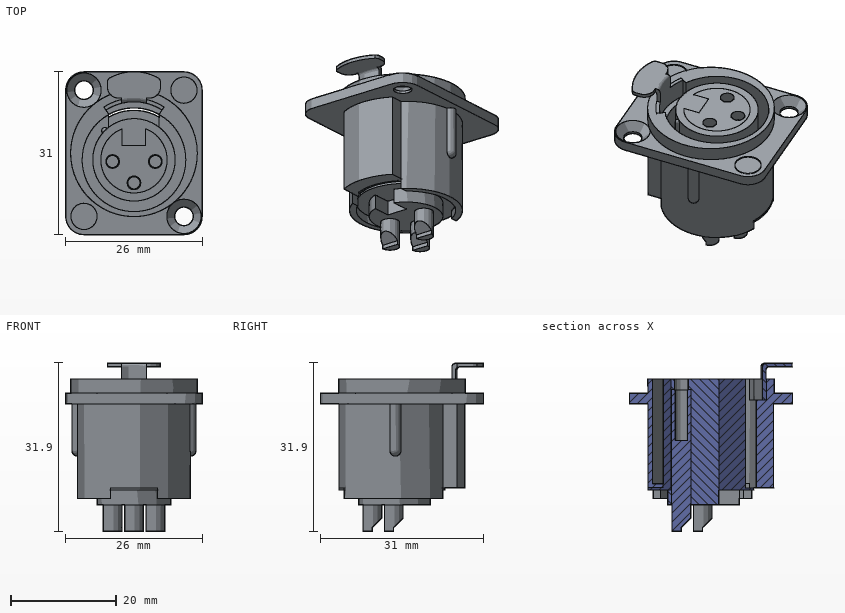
import cadquery as cq
import math

flange_thickness = 2.0
collar_height = 2.72
tab_rise = 3.0
barrel_depth = 18.0
block_depth = 16.0
housing_floor_thickness = 0.83
base_plate_thickness = 0.4
core_drop = 1.2
contact_drop = 5.02

collar_top = flange_thickness + collar_height
tab_top = collar_top + tab_rise
barrel_bottom = -barrel_depth
block_bottom = -block_depth
housing_floor_top = block_bottom + housing_floor_thickness
base_plate_bottom = block_bottom - base_plate_thickness
core_bottom = barrel_bottom - core_drop
contact_bottom = core_bottom - contact_drop

flange_width = 26.0
flange_length = 31.0
flange_corner_radius = 3.52
collar_radius = 24.1 / 2
socket_y = -1.25
socket_radius = 19.7 / 2
barrel_radius = 10.75
block_radius = barrel_radius - socket_y
block_half_width = 5.82
mount_x = 9.5
mount_y = 12.0
screw_hole_diameter = 3.5
countersink_diameter = 6.53
countersink_angle = 90.0
emblem_diameter = 5.0
emblem_depth = 0.2
rib_radius = 1.05
rib_length = 8.9
front_notch_width = 8.95
floor_slot_width = 9.6

latch_outer_radius = 10.5
latch_thickness = 0.7
latch_half_angle = 33.0
latch_inner_radius = latch_outer_radius - latch_thickness
stem_width = 4.8
latch_seat_height = 0.75
bend_outer_radius = 0.7
bend_inner_radius = 0.6
tab_width = 10.08
tab_inner_y = 10.5
tab_inner_corner_radius = 2.08
tab_side_high_y = 13.5
tab_shoulder_x = 4.67
tab_shoulder_y = 14.3
tab_shoulder_radius = 1.05
tab_tip_y = flange_length / 2

sleeve_radius = 7.85
base_plate_radius = 9.45
sleeve_rib_x = -5.55
sleeve_rib_y = 4.3
sleeve_rib_radius = 0.6
sleeve_rib_drop = 0.1
core_radius = 6.3
core_foot_radius = 7.0
keyway_width = 4.48
keyway_y = 1.5

contact_diameter = 3.6
contact_bore = 2.3
contact_bore_depth = 9.6
entry_hole_diameter = 2.6
entry_hole_depth = 2.08
contact_row_y = -1.57
contact_spacing = 4.05
cup_lip_height = 0.75
contact_top = collar_top - entry_hole_depth
contact_centers = [
    (-contact_spacing, contact_row_y),
    (contact_spacing, contact_row_y),
    (0, contact_row_y - contact_spacing),
]


def cylinder(x, y, radius, bottom, top):
    """Upright cylinder between two heights."""
    return cq.Workplane("XY", origin=(x, y, bottom)).circle(radius).extrude(top - bottom)


def block(x_size, y_low, y_high, bottom, top):
    """Box centred on X = 0 between two Y positions and two heights."""
    size = (x_size, y_high - y_low, top - bottom)
    return cq.Workplane("XY", origin=(0, y_low, bottom)).box(*size, centered=(True, False, False))


def sector(radius, bottom, top):
    """Pie slice about the flange centre, symmetric about the +Y direction."""
    half_angle = math.radians(latch_half_angle)
    end_x = radius * math.sin(half_angle)
    end_y = radius * math.cos(half_angle)
    outline = cq.Workplane("XY", origin=(0, 0, bottom)).moveTo(0, 0).lineTo(-end_x, end_y)
    return outline.threePointArc((0, radius), (end_x, end_y)).close().extrude(top - bottom)


def ball_ended_rod(x, y, radius, plain_end, ball_center):
    """Upright rod with a half ball at one end, above or below its plain end."""
    ball = cq.Workplane("XY", origin=(x, y, ball_center)).sphere(radius)
    bottom = min(plain_end, ball_center)
    top = max(plain_end, ball_center)
    return cylinder(x, y, radius, bottom, top).union(ball)


def make_flange():
    """Rounded plate with two countersunk screw holes and two shallow round recesses."""
    plate = cq.Workplane("XY").box(
        flange_width, flange_length, flange_thickness, centered=(True, True, False)
    )
    plate = plate.edges("|Z").fillet(flange_corner_radius)
    top_face = plate.faces(">Z").workplane(origin=(0, 0, flange_thickness))
    plate = top_face.pushPoints([(-mount_x, mount_y), (mount_x, -mount_y)]).cskHole(
        screw_hole_diameter, countersink_diameter, countersink_angle
    )
    for x, y in [(-mount_x, -mount_y), (mount_x, mount_y)]:
        recess_floor = flange_thickness - emblem_depth
        plate = plate.cut(cylinder(x, y, emblem_diameter / 2, recess_floor, flange_thickness))
    return plate


def make_housing():
    """Flange, collar, barrel and latch block, hollowed for the sleeve and the latch."""
    barrel = cylinder(0, socket_y, barrel_radius, barrel_bottom, 0)
    rear_notch = block(2 * block_half_width, 0, collar_radius, barrel_bottom, block_bottom)
    front_notch = block(front_notch_width, -flange_length / 2, 0, barrel_bottom, block_bottom)
    barrel = barrel.cut(rear_notch).cut(front_notch)
    for x in (-barrel_radius, barrel_radius):
        barrel = barrel.union(ball_ended_rod(x, socket_y, rib_radius, 0, -rib_length))

    latch_block = cylinder(0, 0, block_radius, block_bottom, 0)
    latch_block = latch_block.intersect(
        block(2 * block_half_width, 0, collar_radius, block_bottom, 0)
    )
    body = make_flange().union(cylinder(0, 0, collar_radius, flange_thickness, collar_top))
    body = body.union(barrel).union(latch_block)

    body = body.cut(cylinder(0, socket_y, socket_radius, housing_floor_top, collar_top))
    body = body.cut(sector(latch_outer_radius, latch_seat_height, collar_top))
    body = body.cut(cylinder(0, socket_y, sleeve_radius, block_bottom, housing_floor_top))
    body = body.cut(cylinder(0, socket_y, base_plate_radius, barrel_bottom, block_bottom))

    floor_slot = block(floor_slot_width, 0, collar_radius, block_bottom, housing_floor_top)
    socket = cylinder(0, socket_y, socket_radius, block_bottom, housing_floor_top)
    return body.cut(floor_slot.intersect(socket))


def make_tab():
    """Push tab with a bowed outer edge and rounded corners."""
    side_x = tab_width / 2
    inner_x = side_x - tab_inner_corner_radius
    side_low_y = tab_inner_y + tab_inner_corner_radius
    outline = (
        cq.Workplane("XY", origin=(0, 0, tab_top - latch_thickness))
        .moveTo(-inner_x, tab_inner_y)
        .lineTo(inner_x, tab_inner_y)
        .radiusArc((side_x, side_low_y), -tab_inner_corner_radius)
        .lineTo(side_x, tab_side_high_y)
        .radiusArc((tab_shoulder_x, tab_shoulder_y), -tab_shoulder_radius)
        .threePointArc((0, tab_tip_y), (-tab_shoulder_x, tab_shoulder_y))
        .radiusArc((-side_x, tab_side_high_y), -tab_shoulder_radius)
        .lineTo(-side_x, side_low_y)
        .radiusArc((-inner_x, tab_inner_y), -tab_inner_corner_radius)
        .close()
    )
    return outline.extrude(latch_thickness)


def make_stem():
    """Strip of a revolved profile that rises from the plate and bends outwards."""
    tab_bottom = tab_top - latch_thickness
    bend_end = latch_outer_radius + bend_inner_radius
    profile = (
        cq.Workplane("XZ")
        .moveTo(latch_inner_radius, latch_seat_height)
        .lineTo(latch_inner_radius, tab_top - bend_outer_radius)
        .radiusArc((latch_inner_radius + bend_outer_radius, tab_top), bend_outer_radius)
        .lineTo(bend_end, tab_top)
        .lineTo(bend_end, tab_bottom)
        .radiusArc((latch_outer_radius, tab_bottom - bend_inner_radius), -bend_inner_radius)
        .lineTo(latch_outer_radius, latch_seat_height)
        .close()
    )
    ring = profile.revolve(360, (0, 0, 0), (0, 1, 0))
    return ring.intersect(block(stem_width, 0, bend_end, latch_seat_height, tab_top))


def make_latch():
    """Curved plate in the collar with a stem bent outwards into the push tab."""
    plate = sector(latch_outer_radius, latch_seat_height, collar_top)
    plate = plate.cut(cylinder(0, 0, latch_inner_radius, latch_seat_height, collar_top))
    return plate.union(make_stem()).union(make_tab())


def make_sleeve():
    """Tube with an inner key and a base plate whose front tongue fills the barrel notch."""
    sleeve = cylinder(0, socket_y, sleeve_radius, block_bottom, collar_top)
    plate = cylinder(0, socket_y, base_plate_radius, base_plate_bottom, block_bottom)
    tongue = cylinder(0, socket_y, barrel_radius, base_plate_bottom, block_bottom)
    tongue = tongue.intersect(
        block(front_notch_width, -flange_length / 2, 0, base_plate_bottom, block_bottom)
    )
    rib_top = collar_top - sleeve_rib_drop
    rib = ball_ended_rod(
        sleeve_rib_x,
        sleeve_rib_y,
        sleeve_rib_radius,
        housing_floor_top,
        rib_top - sleeve_rib_radius,
    )
    bore = cylinder(0, socket_y, core_radius, base_plate_bottom, collar_top)
    keyway = block(keyway_width, keyway_y, collar_radius, base_plate_bottom, collar_top)
    return sleeve.union(plate).union(tongue).union(rib).cut(bore.cut(keyway))


def make_core():
    """Keyed insulator with a wider foot and a stepped hole for each contact."""
    core = cylinder(0, socket_y, core_radius, base_plate_bottom, collar_top)
    core = core.union(cylinder(0, socket_y, core_foot_radius, core_bottom, base_plate_bottom))
    core = core.cut(block(keyway_width, keyway_y, collar_radius, core_bottom, collar_top))
    for x, y in contact_centers:
        core = core.cut(cylinder(x, y, contact_diameter / 2, core_bottom, contact_top))
        core = core.cut(cylinder(x, y, entry_hole_diameter / 2, contact_top, collar_top))
    return core


def make_contact(x, y):
    """Socket contact whose rear half is cut away at the solder end, with a 45 degree ramp."""
    radius = contact_diameter / 2
    contact = cylinder(x, y, radius, contact_bottom, contact_top)
    contact = contact.cut(
        cylinder(x, y, contact_bore / 2, contact_top - contact_bore_depth, contact_top)
    )
    lip_top = contact_bottom + cup_lip_height
    cutaway = (
        cq.Workplane("YZ", origin=(x - radius, 0, 0))
        .moveTo(y, contact_bottom)
        .lineTo(y, lip_top)
        .lineTo(y + radius, lip_top + radius)
        .lineTo(y + radius, contact_bottom)
        .close()
        .extrude(contact_diameter)
    )
    return contact.cut(cutaway)


housing = make_housing()
latch = make_latch()
sleeve = make_sleeve()
core = make_core()
contacts = [make_contact(x, y).val() for x, y in contact_centers]

result = cq.Compound.makeCompound(
    [housing.val(), latch.val(), sleeve.val(), core.val(), *contacts]
)